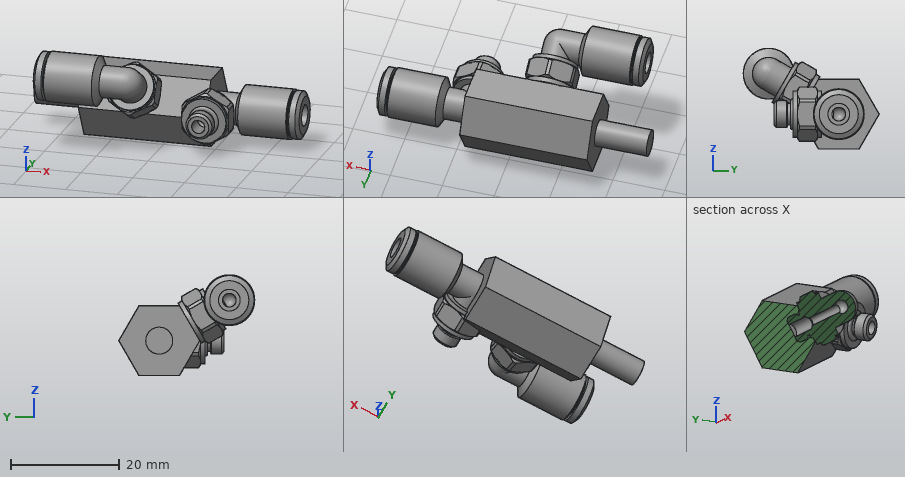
import cadquery as cq
import math


hexagon_half_sector = 30

body_length = 24.5
body_flats = 13.0
rod_diameter = 5.0
rod_length = 10.0

neck_diameter = 6.0
neck_end = 4.5
sleeve_start = 5.45
sleeve_diameter = 9.4
sleeve_end = 14.75
lip_diameter = 8.6
lip_end = 14.95
groove_diameter = 7.0
groove_end = 15.25
collar_diameter = 9.1
collar_chamfer_start = 16.45
collar_face_diameter = 7.2
tube_reach = 17.0

flange_diameter = 8.6
flange_start = 3.2
nut_start = 3.95
nut_end = 7.6
nut_flats = 9.0
nut_corner_diameter = 10.05
nut_face_diameter = 9.1
nut_chamfer_length = 0.35
flange_end = 8.5
seal_diameter = 5.75
seal_radius = 0.45
undercut_diameter = 4.0
undercut_end = 9.5
thread_diameter = 5.0
thread_chamfer = 0.45
thread_lead_in = 0.2
stud_end = 12.0

socket_diameter = 4.0
passage_diameter = 2.5
stud_bore_diameter = 2.5
stud_bore_start = nut_end
stud_bore_tip = 0.5
hub_passage_diameter = 1.5

side_fitting_x = 11.0
side_fitting_offset = body_flats / 2 + flange_end
side_fitting_angle = 30


def hexagon_corner_diameter(flats):
    return flats / math.cos(math.radians(hexagon_half_sector))


def turned_on_x(stations):
    """Solid of revolution about X from (distance, diameter) stations."""
    outline = [(distance, diameter / 2) for distance, diameter in stations]
    points = [(outline[0][0], 0), *outline, (outline[-1][0], 0)]
    return cq.Workplane("XY").polyline(points).close().revolve(360, (0, 0, 0), (1, 0, 0))


def turned_on_hub(stations):
    """Solid of revolution about the hub axis, which runs from the origin towards -Y."""
    return turned_on_x(stations).rotate((0, 0, 0), (0, 0, 1), -90)


def make_tube_leg():
    return turned_on_x([
        (0, neck_diameter),
        (neck_end, neck_diameter),
        (sleeve_start, sleeve_diameter),
        (sleeve_end, sleeve_diameter),
        (sleeve_end, lip_diameter),
        (lip_end, lip_diameter),
        (lip_end, groove_diameter),
        (groove_end, groove_diameter),
        (groove_end, collar_diameter),
        (collar_chamfer_start, collar_diameter),
        (tube_reach, collar_face_diameter),
    ])


def make_nut():
    """Hexagon with its flats towards +X and -X and its corners turned down and chamfered."""
    hexagon = (
        cq.Workplane("XZ", origin=(0, -nut_start, 0))
        .polygon(6, hexagon_corner_diameter(nut_flats))
        .extrude(nut_end - nut_start)
        .rotate((0, 0, 0), (0, 1, 0), hexagon_half_sector)
    )
    corner_turning = turned_on_hub([
        (nut_start, nut_face_diameter),
        (nut_start + nut_chamfer_length, nut_corner_diameter),
        (nut_end - nut_chamfer_length, nut_corner_diameter),
        (nut_end, nut_face_diameter),
    ])
    return hexagon.intersect(corner_turning)


def make_seal():
    """Quarter-round seal ring standing on the flange seat."""
    outer_radius = seal_diameter / 2
    inner_radius = outer_radius - seal_radius
    middle = seal_radius * math.sqrt(0.5)
    return (
        cq.Workplane("XY")
        .moveTo(0, -flange_end)
        .lineTo(outer_radius, -flange_end)
        .threePointArc(
            (inner_radius + middle, -flange_end - middle),
            (inner_radius, -flange_end - seal_radius),
        )
        .lineTo(0, -flange_end - seal_radius)
        .close()
        .revolve(360, (0, 0, 0), (0, 1, 0))
    )


def make_hub_leg():
    hub_neck = turned_on_hub([(0, neck_diameter), (flange_start, neck_diameter)])
    flange = turned_on_hub([(flange_start, flange_diameter), (flange_end, flange_diameter)])
    stud = turned_on_hub([
        (flange_end, undercut_diameter),
        (undercut_end, undercut_diameter),
        (undercut_end, thread_diameter - 2 * thread_lead_in),
        (undercut_end + thread_lead_in, thread_diameter),
        (stud_end - thread_chamfer, thread_diameter),
        (stud_end, thread_diameter - 2 * thread_chamfer),
    ])
    return hub_neck.union(flange).union(make_nut()).union(make_seal()).union(stud)


def make_fitting_envelope():
    """Outer shape of a fitting without its passages: elbow centre at the origin, tube +X, stud -Y."""
    elbow_ball = cq.Workplane("XY").sphere(neck_diameter / 2)
    return make_tube_leg().union(elbow_ball).union(make_hub_leg())


def make_passages():
    tube_passage = turned_on_x([
        (0, passage_diameter),
        (sleeve_start, passage_diameter),
        (sleeve_start, socket_diameter),
        (tube_reach, socket_diameter),
    ])
    round_end = cq.Workplane("XY").sphere(passage_diameter / 2)
    hub_passage = turned_on_hub([
        (0, hub_passage_diameter),
        (stud_bore_start, hub_passage_diameter),
        (stud_bore_start + stud_bore_tip, stud_bore_diameter),
        (stud_end, stud_bore_diameter),
    ])
    return tube_passage.union(round_end).union(hub_passage)


def place_on_side(shape):
    """Stud screwed into the upper -Y face of the body, tube towards -X."""
    angle = math.radians(side_fitting_angle)
    return (
        shape.rotate((0, 0, 0), (0, 0, 1), 180)
        .rotate((0, 0, 0), (1, 0, 0), -side_fitting_angle)
        .translate((
            side_fitting_x,
            -side_fitting_offset * math.cos(angle),
            side_fitting_offset * math.sin(angle),
        ))
    )


def place_on_end(shape):
    """Elbow centre on the body axis at the +X face, tube towards +X."""
    return shape.translate((body_length, 0, 0))


def make_rod():
    return cq.Workplane("YZ").circle(rod_diameter / 2).extrude(-rod_length)


def make_body(fitting_envelopes):
    """Hexagonal bar with corners towards +Y and -Y, recessed for both fittings."""
    body = (
        cq.Workplane("YZ")
        .polygon(6, hexagon_corner_diameter(body_flats))
        .extrude(body_length)
    )
    for envelope in fitting_envelopes:
        body = body.cut(envelope)
    return body


envelope = make_fitting_envelope()
fitting = envelope.cut(make_passages())

fittings = []
fitting_envelopes = []
for place in (place_on_side, place_on_end):
    fittings.append(place(fitting))
    fitting_envelopes.append(place(envelope))

rod = make_rod()
body = make_body(fitting_envelopes)

result = cq.Compound.makeCompound([
    body.solids().val(),
    rod.val(),
    *[each_fitting.solids().val() for each_fitting in fittings],
])